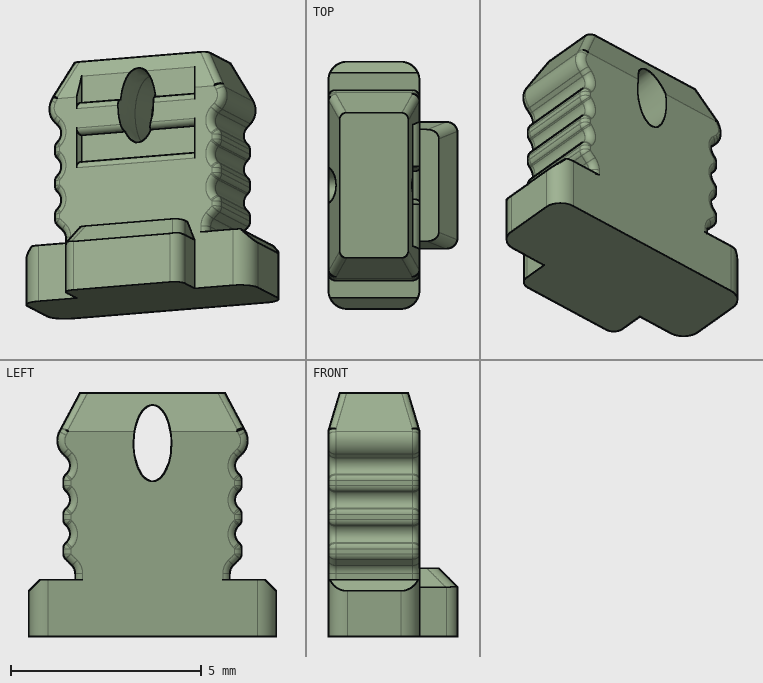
import cadquery as cq
import math

foot_length = 6.5
thickness = 2.4
foot_height = 1.5
foot_corner_radius = 0.5
foot_end_chamfer = 0.3

overall_depth = 3.4
pad_width = 3.335
pad_height = 1.8
pad_slope_height = 0.5
pad_front_inset = 0.5
pad_end_inset = 0.2
pad_corner_radius = 0.3

overall_height = 6.4
neck_half = 2.035
ridge_half = 2.345
crown_half = 2.5
crown_radius = 0.5
crown_slope_angle = math.radians(28)
top_slope_height = 1.0
top_slope_inset = 0.3
stem_edge_radius = 0.195

groove_depth = 0.175
groove_radius = 0.3
ridge_radius = 0.2
groove_pitch = 0.9
lowest_groove_z = 2.7
groove_count = 3

finger_groove_depth = 0.175
finger_bar_top = 5.265
finger_bar_height = 0.87
finger_groove_height = 0.715
finger_end_taper = 0.07

hole_width = 1.0
hole_height = 2.0
hole_z = 5.08

half_thickness = thickness / 2
half_pitch = groove_pitch / 2
sin45 = math.sqrt(0.5)
groove_heights = [lowest_groove_z + i * groove_pitch for i in range(groove_count)]

groove_rise = groove_radius * (1 - sin45)
groove_half_span = groove_radius * sin45
ridge_drop = ridge_radius * (1 - sin45)
ridge_half_span = ridge_radius * sin45
flank_end_z = groove_half_span + groove_depth - ridge_drop - groove_rise
ridge_start_z = flank_end_z + ridge_half_span


def arc_point(center, radius, angle):
    """Point on a circle in the outline plane."""
    return (center[0] + radius * math.cos(angle), center[1] + radius * math.sin(angle))


def trace_arc(path, center, radius, start, end):
    """Continue the outline along an arc that begins where the outline now ends."""
    middle = arc_point(center, radius, (start + end) / 2)
    return path.threePointArc(middle, arc_point(center, radius, end))


def trace_ridge_to_groove(path, face, z):
    """Climb from the ridge below a groove at height z to the lower end of the groove arc."""
    path = path.lineTo(face, z - ridge_start_z)
    path = trace_arc(path, (face - ridge_radius, z - ridge_start_z), ridge_radius, 0, math.pi / 4)
    return path.lineTo(face - groove_depth + groove_rise, z - groove_half_span)


def trace_groove(path, face, z):
    """Round the bottom of a groove at height z."""
    center = (face - groove_depth + groove_radius, z)
    return trace_arc(path, center, groove_radius, math.pi * 5 / 4, math.pi * 3 / 4)


def trace_groove_to_ridge(path, face, z):
    """Climb from the upper end of the groove arc to the ridge above it."""
    path = path.lineTo(face - ridge_drop, z + flank_end_z)
    center = (face - ridge_radius, z + ridge_start_z)
    return trace_arc(path, center, ridge_radius, -math.pi / 4, 0)


def make_foot():
    foot = cq.Workplane("XY").box(thickness, foot_length, foot_height, centered=(True, True, False))
    foot = foot.edges("|Z").fillet(foot_corner_radius)
    ends = (
        cq.Workplane("YZ")
        .rect(foot_length, 2 * foot_height)
        .extrude(half_thickness, both=True)
        .edges("|X and >Z")
        .chamfer(foot_end_chamfer)
    )
    return foot.intersect(ends)


def make_pad():
    half = pad_width / 2
    front_x = overall_depth - half_thickness
    block = cq.Workplane("XY").box(front_x, pad_width, pad_height, centered=(False, True, False))
    block = block.edges("|Z and >X").fillet(pad_corner_radius)

    spread = pad_height / pad_slope_height
    end_run = pad_end_inset * spread
    front_run = pad_front_inset * spread
    top_y = half - pad_end_inset
    top_x = front_x - pad_front_inset
    end_slopes = (
        cq.Workplane("YZ")
        .polyline([(-top_y - end_run, 0), (top_y + end_run, 0), (top_y, pad_height), (-top_y, pad_height)])
        .close()
        .extrude(overall_depth + front_run)
    )
    front_slope = (
        cq.Workplane("XZ")
        .polyline([(0, 0), (top_x + front_run, 0), (top_x, pad_height), (0, pad_height)])
        .close()
        .extrude(pad_width, both=True)
    )
    roof = end_slopes.intersect(front_slope)
    hips = roof.edges("(not |X) and (not |Y)").filter(lambda edge: edge.Center().x > top_x)
    return block.intersect(hips.fillet(pad_corner_radius))


def make_grip_half():
    """The +Y half of the stem before its X sides are sloped."""
    lowest_ridge_z = lowest_groove_z - half_pitch
    ridge_flat_half = half_pitch - ridge_start_z
    flat_bottom = lowest_ridge_z - ridge_flat_half
    flank_top = flat_bottom - ridge_half_span
    neck_flank_y = neck_half + groove_rise
    flank_bottom = flank_top - (ridge_half - ridge_drop - neck_flank_y)
    neck_top = flank_bottom - groove_half_span

    path = cq.Workplane("YZ").moveTo(0, foot_height).lineTo(neck_half, foot_height)
    path = path.lineTo(neck_half, neck_top)
    path = trace_arc(path, (neck_half + groove_radius, neck_top), groove_radius, math.pi, math.pi * 3 / 4)
    path = path.lineTo(ridge_half - ridge_drop, flank_top)
    path = trace_arc(path, (ridge_half - ridge_radius, flat_bottom), ridge_radius, -math.pi / 4, 0)

    for z in groove_heights:
        path = trace_ridge_to_groove(path, ridge_half, z)
        path = trace_groove(path, ridge_half, z)
        if z != groove_heights[-1]:
            path = trace_groove_to_ridge(path, ridge_half, z)

    crown_y = crown_half - crown_radius
    flank_y = crown_y + crown_radius * sin45
    last_arc_y = ridge_half - groove_depth + groove_rise
    flank_z = groove_heights[-1] + groove_half_span + flank_y - last_arc_y
    crown_z = flank_z + crown_radius * sin45
    drop = (overall_height - crown_z) * math.sin(crown_slope_angle)
    top_half = crown_y + (crown_radius - drop) / math.cos(crown_slope_angle)

    path = path.lineTo(flank_y, flank_z)
    path = trace_arc(path, (crown_y, crown_z), crown_radius, -math.pi / 4, crown_slope_angle)
    path = path.lineTo(top_half, overall_height).lineTo(0, overall_height).close()
    return path.extrude(half_thickness, both=True)


def make_stem():
    half = make_grip_half()
    grip = half.union(half.mirror("XZ")).clean()
    slope_z = overall_height - top_slope_height
    top_half = half_thickness - top_slope_inset
    side = (
        cq.Workplane("XZ")
        .polyline([
            (-half_thickness, 0),
            (half_thickness, 0),
            (half_thickness, slope_z),
            (top_half, overall_height),
            (-top_half, overall_height),
            (-half_thickness, slope_z),
        ])
        .close()
        .extrude(foot_length, both=True)
    )
    stem = grip.intersect(side)
    corner_edges = stem.edges("not |X").filter(lambda edge: abs(edge.Center().y) > top_half)
    return corner_edges.fillet(stem_edge_radius)


def make_finger_groove(bottom, top):
    """Void of one groove whose lips round over to the +X face."""
    face = half_thickness
    back = face - finger_groove_depth
    outer = face + finger_groove_depth
    lip_low = bottom - finger_groove_depth
    lip_high = top + finger_groove_depth
    path = cq.Workplane("XZ").moveTo(back, bottom)
    path = trace_arc(path, (back, lip_low), finger_groove_depth, math.pi / 2, 0)
    path = path.lineTo(outer, lip_low).lineTo(outer, lip_high).lineTo(face, lip_high)
    path = trace_arc(path, (back, lip_high), finger_groove_depth, 0, -math.pi / 2)
    groove = path.close().extrude(pad_width, both=True)

    half = pad_width / 2
    inner_half = half - finger_end_taper
    outer_half = half + finger_end_taper
    ends = (
        cq.Workplane("XY")
        .polyline([
            (back, -inner_half),
            (outer, -outer_half),
            (outer, outer_half),
            (back, inner_half),
        ])
        .close()
        .extrude(lip_high)
    )
    return groove.intersect(ends)


def make_hole_cutter():
    return (
        cq.Workplane("YZ")
        .center(0, hole_z)
        .ellipse(hole_width / 2, hole_height / 2)
        .extrude(thickness, both=True)
    )


finger_bar_bottom = finger_bar_top - finger_bar_height
stem = make_stem().cut(make_hole_cutter())
stem = stem.cut(make_finger_groove(finger_bar_top, overall_height))
stem = stem.cut(make_finger_groove(finger_bar_bottom - finger_groove_height, finger_bar_bottom))
result = make_foot().union(stem).union(make_pad())